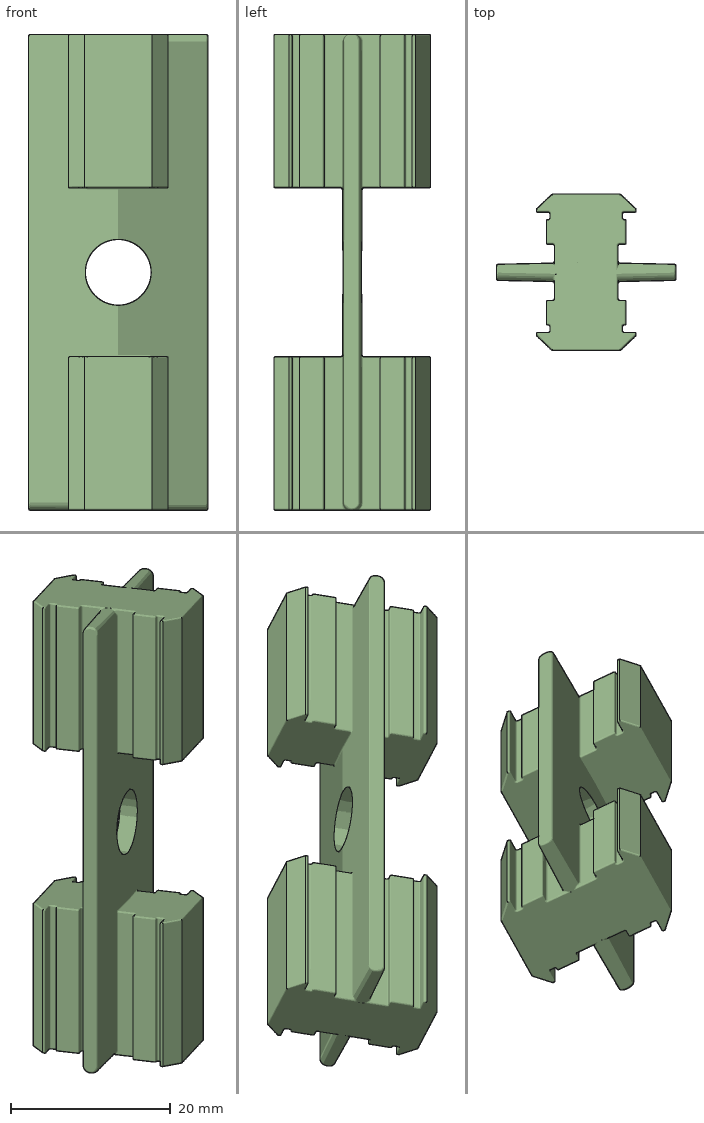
import cadquery as cq
length = 59.5
plate_width = 22.44
block_depth = 19.6

plate_centre_thickness = 2.5
plate_edge_thickness = 2.04
plate_end_fillet = 0.95
plate_side_fillet = 0.25
hole_diameter = 8.2

block_length = 19.2
face_half_width = 4.25
flange_half_width = 6.25
flange_tip_height = 0.4
flange_underside_y = 7.5
neck_half_width = 4.55
neck_end_y = 6.6
body_half_width = 5.0
body_end_y = 3.5
waist_half_width = 4.0
block_fillet = 0.2
joint_fillet = 0.2


def make_plate():
    half_width = plate_width / 2
    half_edge = plate_edge_thickness / 2
    half_centre = plate_centre_thickness / 2
    outline = [
        (-half_width, -half_edge),
        (0, -half_centre),
        (half_width, -half_edge),
        (half_width, half_edge),
        (0, half_centre),
        (-half_width, half_edge),
    ]
    plate = cq.Workplane("XY").polyline(outline).close().extrude(length / 2, both=True)
    long_end_edges = plate.faces("<Z or >Z").edges("not |Y")
    plate = long_end_edges.fillet(plate_end_fillet)
    return plate.faces("<X or >X").edges().fillet(plate_side_fillet)


def make_block():
    """Symmetric profile: waist, body, neck and a flange with sharp, sloped outer shoulders."""
    shoulder_y = flange_underside_y + flange_tip_height
    quarter = [
        (face_half_width, block_depth / 2),
        (flange_half_width, shoulder_y),
        (flange_half_width, flange_underside_y),
        (neck_half_width, flange_underside_y),
        (neck_half_width, neck_end_y),
        (body_half_width, neck_end_y),
        (body_half_width, body_end_y),
        (waist_half_width, body_end_y),
    ]
    right_side = quarter + [(x, -y) for x, y in reversed(quarter)]
    left_side = [(-x, -y) for x, y in right_side]
    block = cq.Workplane("XY").polyline(right_side + left_side).close().extrude(block_length)

    inside_shoulders_y = shoulder_y - flange_tip_height / 2
    inside_shoulders = cq.selectors.BoxSelector(
        (-plate_width, -inside_shoulders_y, 0),
        (plate_width, inside_shoulders_y, block_length),
    )
    block = block.edges("|Z").edges(inside_shoulders).fillet(block_fillet)
    return block.faces("<Z or >Z").edges().fillet(block_fillet)


def fillet_plate_joints(body):
    """Round the inner corners where the plate enters the sides of the block waists."""
    half_thickness = plate_centre_thickness / 2
    left_joints, right_joints = [
        cq.selectors.BoxSelector(
            (waist_x - joint_fillet, -half_thickness, -length / 2),
            (waist_x + joint_fillet, half_thickness, length / 2),
        )
        for waist_x in (-waist_half_width, waist_half_width)
    ]
    return body.edges("|Z").edges(left_joints + right_joints).fillet(joint_fillet)


def cut_centre_hole(body):
    hole = cq.Workplane("XZ").circle(hole_diameter / 2).extrude(plate_centre_thickness, both=True)
    return body.cut(hole)


block = make_block()
upper_block = block.translate((0, 0, length / 2 - block_length))
lower_block = block.translate((0, 0, -length / 2))
joined = make_plate().union(upper_block).union(lower_block)
result = fillet_plate_joints(cut_centre_hole(joined))